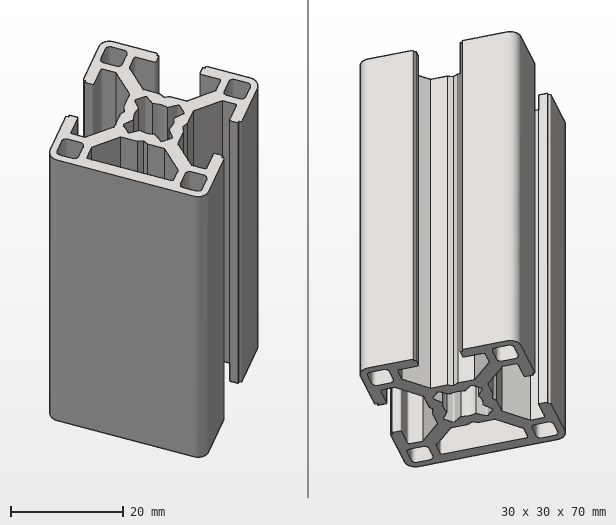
import cadquery as cq
import math

length = 70.0
width = 30.0
half_width = width / 2
corner_radius = 2.0

lip_thickness = 2.2
mouth_half_width = 4.1
mouth_step_half_width = 4.55
mouth_step_depth = 0.5
lip_edge_radius = 0.3
slot_half_width = 8.2
slot_corner_radius = 0.35
core_half_width = 6.0
core_face_half_width = 4.1
groove_half_width = 1.0
groove_depth = 0.5

chamber_size = 4.05
chamber_center = 11.7
chamber_radius = 0.85

bore_radius = 3.65
lobe_reach = 5.5
lobe_tip_half_width = 1.1
lobe_root_half_width = 1.4
lobe_corner_radius = 0.3

slot_top = half_width - lip_thickness
flank_top = core_half_width + slot_half_width - core_face_half_width


def slot_cavity():
    """Cavity behind the lips, on the +Y side, with a V-groove along the core face."""
    return (
        cq.Workplane("XY")
        .polyline([
            (-slot_half_width, slot_top),
            (-slot_half_width, flank_top),
            (-core_face_half_width, core_half_width),
            (-groove_half_width, core_half_width),
            (0, core_half_width - groove_depth),
            (groove_half_width, core_half_width),
            (core_face_half_width, core_half_width),
            (slot_half_width, flank_top),
            (slot_half_width, slot_top),
        ])
        .close()
        .extrude(length)
        .edges("|Z and >Y")
        .fillet(slot_corner_radius)
    )


def slot_mouth():
    """Opening between the lips, on the +Y side, stepped wider at the outer face.

    The outer edge of the step and the inner edge of each lip are rounded.
    """
    step_floor = half_width - mouth_step_depth
    inner_edge_half_width = mouth_half_width + lip_edge_radius
    outer_edge_half_width = mouth_step_half_width + lip_edge_radius
    right_half = (
        cq.Workplane("XY")
        .moveTo(0, slot_top)
        .lineTo(inner_edge_half_width, slot_top)
        .radiusArc((mouth_half_width, slot_top + lip_edge_radius), lip_edge_radius)
        .lineTo(mouth_half_width, step_floor)
        .lineTo(mouth_step_half_width, step_floor)
        .lineTo(mouth_step_half_width, half_width - lip_edge_radius)
        .radiusArc((outer_edge_half_width, half_width), lip_edge_radius)
        .lineTo(0, half_width)
        .close()
        .extrude(length)
    )
    return right_half.union(right_half.mirror("YZ"))


def corner_chambers():
    """Rounded square holes through the four corners."""
    return (
        cq.Workplane("XY")
        .rect(2 * chamber_center, 2 * chamber_center, forConstruction=True)
        .vertices()
        .rect(chamber_size, chamber_size)
        .extrude(length)
        .edges("|Z")
        .fillet(chamber_radius)
    )


def central_bore():
    """Round bore with four diagonal lobes that taper towards their tips."""
    root = math.sqrt(bore_radius**2 - lobe_root_half_width**2)
    lobe = (
        cq.Workplane("XY")
        .polyline([
            (0, -lobe_root_half_width),
            (root, -lobe_root_half_width),
            (lobe_reach, -lobe_tip_half_width),
            (lobe_reach, lobe_tip_half_width),
            (root, lobe_root_half_width),
            (0, lobe_root_half_width),
        ])
        .close()
        .extrude(length)
        .edges("|Z and >X")
        .fillet(lobe_corner_radius)
    )
    bore = cq.Workplane("XY").circle(bore_radius).extrude(length)
    for angle in (45, 135, 225, 315):
        bore = bore.union(lobe.rotate((0, 0, 0), (0, 0, 1), angle))
    return bore


result = (
    cq.Workplane("XY")
    .rect(width, width)
    .extrude(length)
    .edges("|Z")
    .fillet(corner_radius)
)

for angle in (0, 90, 180, 270):
    result = result.cut(slot_cavity().rotate((0, 0, 0), (0, 0, 1), angle))
    if angle != 180:
        result = result.cut(slot_mouth().rotate((0, 0, 0), (0, 0, 1), angle))

result = result.cut(corner_chambers())
result = result.cut(central_bore())